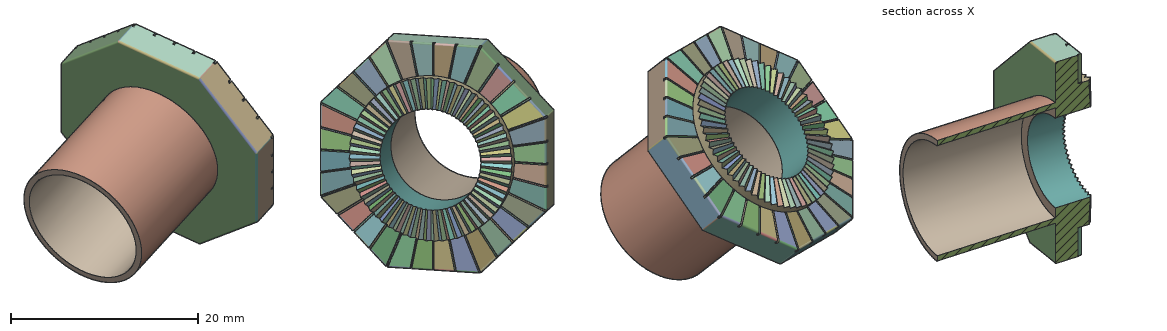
import cadquery as cq
import math

ACROSS_FLATS = 25.0
PLATE_THICKNESS = 3.4
EDGE_RADIUS = 0.2
FACE_COUNT = 8
CORNER_DIAMETER = ACROSS_FLATS / math.cos(math.pi / FACE_COUNT)

TUBE_LENGTH = 14.9
TUBE_DIAMETER = 15.0
TUBE_BORE = 13.6
THROUGH_BORE = 11.1

RING_DIAMETER = 17.9
RING_HEIGHT = 1.3
TOOTH_COUNT = 64
TOOTH_ANGLE = 90.0
GROOVE_OVERRUN = 0.25

MARK_COUNT = 4 * FACE_COUNT
MARK_WIDTH = 0.2
MARK_DEPTH = 0.5

RING_TOP = PLATE_THICKNESS + RING_HEIGHT


def cylinder(diameter, start_y, end_y):
    """Solid cylinder about the Y axis between two Y positions."""
    axis_start = cq.Vector(0, start_y, 0)
    solid = cq.Solid.makeCylinder(diameter / 2, end_y - start_y, axis_start, cq.Vector(0, 1, 0))
    return cq.Workplane(obj=solid)


def cut_around_axis(body, tool, count):
    """Cut equally spaced copies of a solid tool, turned about the Y axis, from a body."""
    step = 360.0 / count
    copies = [tool.rotate((0, 0, 0), (0, 1, 0), index * step) for index in range(count)]
    return cq.Workplane(obj=body.val().cut(*copies))


def octagonal_plate():
    """Plate with flats square to X and Z and every edge rounded."""
    return (
        cq.Workplane("XY")
        .polygon(FACE_COUNT, CORNER_DIAMETER)
        .extrude(PLATE_THICKNESS)
        .rotate((0, 0, 0), (0, 0, 1), 180.0 / FACE_COUNT)
        .edges()
        .fillet(EDGE_RADIUS)
        .rotate((0, 0, 0), (1, 0, 0), -90)
    )


def tooth_gap():
    """Radial V groove that narrows toward the axis, so the crests between copies stay level and sharp."""

    def groove_section(radius):
        half_width = radius * math.tan(math.pi / TOOTH_COUNT)
        depth = half_width / math.tan(math.radians(TOOTH_ANGLE / 2))
        corners = [
            cq.Vector(radius, RING_TOP - depth, 0),
            cq.Vector(radius, RING_TOP, half_width),
            cq.Vector(radius, RING_TOP, -half_width),
        ]
        return cq.Wire.makePolygon(corners, close=True)

    inner_radius = THROUGH_BORE / 2 - GROOVE_OVERRUN
    outer_radius = RING_DIAMETER / 2 + GROOVE_OVERRUN
    return cq.Solid.makeLoft([groove_section(inner_radius), groove_section(outer_radius)], True)


def index_mark():
    """Narrow radial slot in the back of the plate, from the ring out to the corner radius."""
    inner_radius = RING_DIAMETER / 2
    length = CORNER_DIAMETER / 2 - inner_radius
    corner = cq.Vector(inner_radius, PLATE_THICKNESS - MARK_DEPTH, -MARK_WIDTH / 2)
    return cq.Solid.makeBox(length, MARK_DEPTH, MARK_WIDTH, corner)


plate = cut_around_axis(octagonal_plate(), index_mark(), MARK_COUNT)

ring = cylinder(RING_DIAMETER, 0, RING_TOP).cut(cylinder(THROUGH_BORE, 0, RING_TOP))
ring = cut_around_axis(ring, tooth_gap(), TOOTH_COUNT)
tube = cylinder(TUBE_DIAMETER, -TUBE_LENGTH, 0)

result = (
    plate.union(ring)
    .union(tube)
    .cut(cylinder(TUBE_BORE, -TUBE_LENGTH, 0))
    .cut(cylinder(THROUGH_BORE, 0, RING_TOP))
    .solids()
)